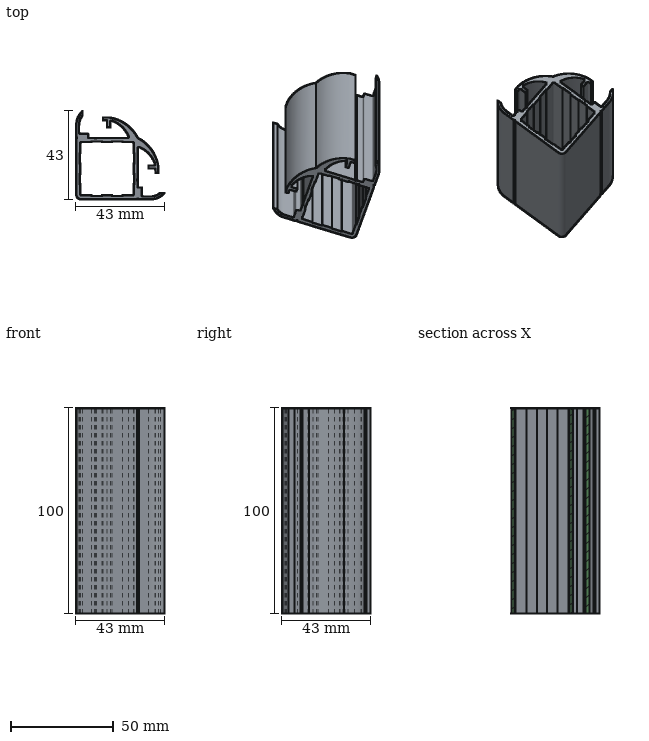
import cadquery as cq
import math

length = 100.0
tube_side = 30.0
tube_wall = 2.1
tube_corner_radius = 2.5
bore_corner_radius = 0.5

recess_depth = 0.3
recess_width = 5.0
recess_spacing = 10.0

score_width = 1.0
score_depth = 0.4
score_wall_position = 9.5

lip_height = 43.0
lip_thickness = 1.5
lip_tip_x = 3.2
lip_arc_start = 36.3
step_width = 5.9
step_height = 2.0
root_radius = 0.4

arm_top = 40.0
arm_thickness = 1.5
arm_end_x = 13.0
arm_arc_start = 16.0
arm_outer_radius = 19.0
arm_inner_mid = (22.3, 35.3)
arm_inner_end = (25.7, tube_side)
arm_root_radius = 0.5
rib_root_radius = 0.5
rib_left = 15.0
rib_width = 1.6
rib_bottom = 35.1


def tangent_radius(along, across):
    """Radius of an arc that leaves a line tangentially and ends at the given offsets."""
    return (along**2 + across**2) / (2 * across)


def mirrored_pair(body):
    """The body and its mirror image across the diagonal plane X = Y."""
    return body.union(body.mirror(cq.Vector(1, -1, 0)))


def fillet_nearest_edge(body, x, y, radius):
    """Fillet the edge along Z that is nearest to (x, y)."""
    nearest = cq.selectors.NearestToPointSelector((x, y, length / 2))
    return body.edges("|Z").edges(nearest).fillet(radius)


def make_tube():
    outer = cq.Workplane("XY").rect(tube_side, tube_side, centered=False).extrude(length)
    return outer.edges("|Z and <X and <Y").fillet(tube_corner_radius)


def make_bore():
    bore_side = tube_side - 2 * tube_wall
    centre = tube_side / 2
    plane = cq.Workplane("XY").center(centre, centre)
    bore = plane.rect(bore_side, bore_side).extrude(length)
    bore = bore.edges("|Z").fillet(bore_corner_radius)
    deep_side = bore_side + 2 * recess_depth
    for offset in (-recess_spacing / 2, recess_spacing / 2):
        recess = plane.center(offset, 0).rect(recess_width, deep_side).extrude(length)
        bore = bore.union(mirrored_pair(recess))
    return bore


def make_lip():
    rise = lip_height - lip_arc_start
    outer_radius = tangent_radius(rise, lip_tip_x)
    inner_radius = outer_radius - lip_thickness
    inner_rise = math.sqrt(inner_radius**2 - (outer_radius - lip_tip_x) ** 2)
    step_top = tube_side + step_height
    lip = (
        cq.Workplane("XY")
        .moveTo(0, tube_side - tube_wall)
        .lineTo(0, lip_arc_start)
        .radiusArc((lip_tip_x, lip_height), outer_radius)
        .lineTo(lip_tip_x, lip_arc_start + inner_rise)
        .radiusArc((lip_thickness, lip_arc_start), -inner_radius)
        .lineTo(lip_thickness, step_top)
        .lineTo(step_width, step_top)
        .lineTo(step_width, tube_side - tube_wall)
        .close()
        .extrude(length)
    )
    for x in (lip_thickness, step_width):
        lip = fillet_nearest_edge(lip, x, step_top, root_radius)
    return lip


def make_arm():
    underside = arm_top - arm_thickness
    arm = (
        cq.Workplane("XY")
        .moveTo(arm_end_x, arm_top)
        .lineTo(arm_arc_start, arm_top)
        .radiusArc((tube_side, tube_side), arm_outer_radius)
        .lineTo(tube_side, tube_side - tube_wall)
        .lineTo(arm_inner_end[0], tube_side - tube_wall)
        .lineTo(*arm_inner_end)
        .threePointArc(arm_inner_mid, (rib_left + rib_width, underside))
        .lineTo(arm_end_x, underside)
        .close()
        .extrude(length)
    )
    rib_top = arm_top - arm_thickness / 2
    rib_height = rib_top - rib_bottom
    rib = cq.Workplane("XY").box(rib_width, rib_height, length, centered=False)
    return arm.union(rib.translate((rib_left, rib_bottom, 0)))


def make_score(x, y, inward):
    """V groove along Z, open on a face normal to Y; inward is the sign of Y into the wall."""
    half = score_width / 2
    points = [(x - half, y), (x + half, y), (x, y + inward * score_depth)]
    return cq.Workplane("XY").polyline(points).close().extrude(length)


def fillet_edge_pair(body, x, y, radius):
    """Fillet the edge along Z at (x, y) and its mirror image."""
    body = fillet_nearest_edge(body, x, y, radius)
    return fillet_nearest_edge(body, y, x, radius)


result = make_tube().union(mirrored_pair(make_lip())).union(mirrored_pair(make_arm()))
result = fillet_edge_pair(result, step_width, tube_side, root_radius)
result = fillet_edge_pair(result, *arm_inner_end, arm_root_radius)
for rib_side in (rib_left, rib_left + rib_width):
    result = fillet_edge_pair(result, rib_side, arm_top - arm_thickness, rib_root_radius)
result = result.cut(make_bore())
result = result.cut(mirrored_pair(make_score(tube_side, 0, 1)))
result = result.cut(mirrored_pair(make_score(score_wall_position, tube_side, -1)))